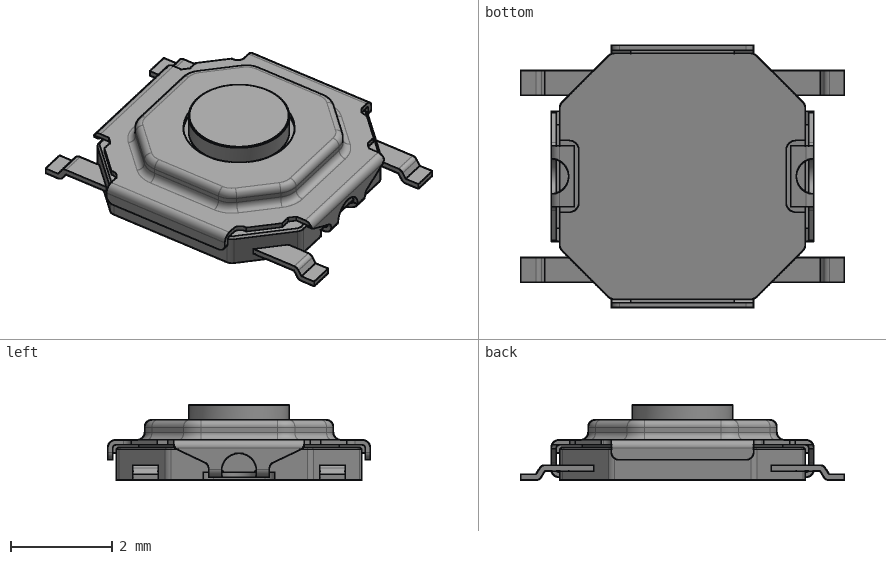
import cadquery as cq
import math

pick_margin = 0.005

lead_span = 6.4
height = 1.5

base_half = 2.43
base_corner_sum = 3.85
base_corner_radius = 0.18
base_top = 0.65
base_bevel = 0.045

cover_half = 2.6
cover_corner_sum = 3.74
cover_top = 0.8
sheet = 0.1
cover_bottom = cover_top - sheet
bend_radius = 0.16
inner_bend_radius = bend_radius - sheet
bend_start = cover_half - bend_radius
cover_inner = cover_half - sheet

dome_half = 1.87
dome_corner_sum = 2.83
dome_corner_radius = 0.48
dome_top = 1.2
dome_edge_radius = 0.15

button_radius = 1.0
button_bevel = 0.02
button_hole_radius = 1.1

short_tab_half = 1.41
short_tab_bottom = 0.4
short_tab_corner = 0.155
short_tab_relief_y = 2.13
short_tab_relief_radius = 0.16

hook_tab_half = 1.29
hook_relief_x = 2.12
hook_relief_chamfer = 0.115
hook_taper_half = 1.26
hook_taper_top = 0.63
hook_leg_half = 0.6
hook_shoulder_z = 0.315
hook_shoulder_radius = 0.13
hook_bottom = 0.06
hook_foot_end = 2.145
hook_window_radius = 0.345
hook_window_z = 0.185

pocket_half = 0.71
pocket_height = hook_bottom + sheet
pocket_back = 2.05
pocket_corner_radius = 0.2

core_half = 1.985
core_corner_sum = 3.2

rib_half_length = 1.025
rib_bottom = 0.54

lead_thickness = 0.12
lead_width = 0.5
lead_center_y = 1.85
lead_bottom = 0.18
lead_inner_end = 1.28
lead_foot_bend_x = 2.9
lead_upper_bend_x = 2.72


def octagon(half, corner_sum, bottom, top):
    """Prism on a square of the given half width, its corners cut at |x| + |y| = corner_sum."""
    cut = corner_sum - half
    points = [
        (half, -cut), (half, cut), (cut, half), (-cut, half),
        (-half, cut), (-half, -cut), (-cut, -half), (cut, -half),
    ]
    return cq.Workplane("XY").workplane(offset=bottom).polyline(points).close().extrude(top - bottom)


def with_opposite(solid):
    """Solid together with its copy turned half a turn about Z."""
    return solid.union(solid.rotate((0, 0, 0), (0, 0, 1), 180))


def make_base():
    base = octagon(base_half, base_corner_sum, 0, base_top)
    base = base.edges("|Z").fillet(base_corner_radius)
    base = base.faces(">Z").edges().chamfer(base_bevel)
    depth = base_half - pocket_back
    pocket = (
        cq.Workplane("XY")
        .box(2 * depth, 2 * pocket_half, pocket_height, centered=(True, True, False))
        .translate((-base_half, 0, 0))
        .edges("|Z and >X").fillet(pocket_corner_radius)
    )
    return base.cut(with_opposite(pocket))


def corner_relief():
    """Cutout in the plate, at the +X +Y corner, between the ends of two neighbouring tabs."""
    block = (
        cq.Workplane("XY").workplane(offset=cover_bottom)
        .box(cover_half, cover_half, sheet, centered=False)
        .edges("|Z and <X and <Y")
    )
    beside_short_tab = block.fillet(short_tab_relief_radius)
    beside_short_tab = beside_short_tab.translate((short_tab_half, short_tab_relief_y, 0))
    beside_hook = block.chamfer(hook_relief_chamfer)
    beside_hook = beside_hook.translate((hook_relief_x, hook_tab_half, 0))
    return beside_short_tab.union(beside_hook)


def make_domed_plate():
    dome = octagon(dome_half, dome_corner_sum, cover_bottom, dome_top)
    dome = dome.edges("|Z").fillet(dome_corner_radius)
    dome = dome.faces(">Z").edges().fillet(dome_edge_radius)
    slab = (
        cq.Workplane("XY").workplane(offset=cover_bottom)
        .box(2 * bend_start, 2 * bend_start, sheet, centered=(True, True, False))
    )
    dome_reach = dome_half + pick_margin
    dome_foot = cq.selectors.BoxSelector(
        (-dome_reach, -dome_reach, cover_top - pick_margin),
        (dome_reach, dome_reach, cover_top + pick_margin),
    )
    plate = slab.union(dome).edges(dome_foot).fillet(dome_edge_radius)
    plate = plate.intersect(octagon(bend_start, cover_corner_sum, cover_bottom, dome_top))
    relief = corner_relief()
    for mirror_plane in ("YZ", "XZ"):
        relief = relief.union(relief.mirror(mirror_plane))
    return plate.cut(relief)


def bend_middle(radius, center_z, vertical):
    """Middle of a quarter bend on the outward side; vertical is 1 for upward and -1 for downward."""
    offset = radius * math.sqrt(0.5)
    return (-bend_start - offset, center_z + vertical * offset)


def make_short_tab():
    """Tab on the -Y side, bent down over the base."""
    center_z = cover_top - bend_radius
    strip = (
        cq.Workplane("YZ")
        .moveTo(-short_tab_relief_y, cover_top)
        .lineTo(-bend_start, cover_top)
        .threePointArc(bend_middle(bend_radius, center_z, 1), (-cover_half, center_z))
        .lineTo(-cover_half, short_tab_bottom)
        .lineTo(-cover_inner, short_tab_bottom)
        .lineTo(-cover_inner, center_z)
        .threePointArc(bend_middle(inner_bend_radius, center_z, 1), (-bend_start, cover_bottom))
        .lineTo(-short_tab_relief_y, cover_bottom)
        .close()
        .extrude(short_tab_half, both=True)
    )
    return strip.edges("|Y and <Z").fillet(short_tab_corner)


def make_hook_tab():
    """Tab on the -X side, tapering to a slotted hook that turns under the base."""
    center_top = cover_top - bend_radius
    center_low = hook_bottom + bend_radius
    strip = (
        cq.Workplane("XZ")
        .moveTo(-hook_relief_x, cover_top)
        .lineTo(-bend_start, cover_top)
        .threePointArc(bend_middle(bend_radius, center_top, 1), (-cover_half, center_top))
        .lineTo(-cover_half, center_low)
        .threePointArc(bend_middle(bend_radius, center_low, -1), (-bend_start, hook_bottom))
        .lineTo(-hook_foot_end, hook_bottom)
        .lineTo(-hook_foot_end, pocket_height)
        .lineTo(-bend_start, pocket_height)
        .threePointArc(bend_middle(inner_bend_radius, center_low, -1), (-cover_inner, center_low))
        .lineTo(-cover_inner, center_top)
        .threePointArc(bend_middle(inner_bend_radius, center_top, 1), (-bend_start, cover_bottom))
        .lineTo(-hook_relief_x, cover_bottom)
        .close()
        .extrude(hook_tab_half, both=True)
    )
    outline = (
        cq.Workplane("YZ")
        .polyline([
            (-hook_tab_half, cover_top), (-hook_tab_half, cover_bottom),
            (-hook_taper_half, hook_taper_top), (-hook_leg_half, hook_shoulder_z),
            (-hook_leg_half, 0), (hook_leg_half, 0),
            (hook_leg_half, hook_shoulder_z), (hook_taper_half, hook_taper_top),
            (hook_tab_half, cover_bottom), (hook_tab_half, cover_top),
        ])
        .close()
        .extrude(-lead_span / 2)
    )
    shoulders = cq.selectors.BoxSelector(
        (-lead_span, -hook_leg_half - pick_margin, hook_shoulder_z - pick_margin),
        (lead_span, hook_leg_half + pick_margin, hook_shoulder_z + pick_margin),
    )
    outline = outline.edges(shoulders).fillet(hook_shoulder_radius)
    wall_window = (
        cq.Workplane("YZ")
        .moveTo(-hook_window_radius, hook_window_z)
        .threePointArc((0, hook_window_z + hook_window_radius), (hook_window_radius, hook_window_z))
        .close()
        .extrude(-lead_span / 2)
    )
    foot_window = (
        cq.Workplane("XY").center(-cover_half, 0).circle(hook_window_radius).extrude(hook_window_z)
    )
    return strip.intersect(outline).cut(wall_window).cut(foot_window)


def make_cover():
    cover = make_domed_plate()
    cover = cover.union(with_opposite(make_short_tab()))
    cover = cover.union(with_opposite(make_hook_tab()))
    hole = cq.Workplane("XY").workplane(offset=dome_top - sheet).circle(button_hole_radius).extrude(sheet)
    return cover.cut(hole)


def make_button():
    button = cq.Workplane("XY").workplane(offset=cover_bottom).circle(button_radius)
    button = button.extrude(height - cover_bottom)
    return button.faces(">Z").edges().chamfer(button_bevel)


def make_lead():
    """Gull-wing lead on the -X side; both bends turn about sharp inner corners."""
    run = lead_foot_bend_x - lead_upper_bend_x
    rise = lead_bottom - lead_thickness
    slope = math.atan2(rise, run) + math.asin(lead_thickness / math.hypot(run, rise))

    def around_foot_bend(angle):
        return (-lead_foot_bend_x + lead_thickness * math.sin(angle),
                lead_thickness - lead_thickness * math.cos(angle))

    def around_upper_bend(angle):
        return (-lead_upper_bend_x - lead_thickness * math.sin(angle),
                lead_bottom + lead_thickness * math.cos(angle))

    return (
        cq.Workplane("XZ", origin=(0, lead_width / 2, 0))
        .moveTo(-lead_span / 2, 0)
        .lineTo(-lead_foot_bend_x, 0)
        .threePointArc(around_foot_bend(slope / 2), around_foot_bend(slope))
        .lineTo(-lead_upper_bend_x, lead_bottom)
        .lineTo(-lead_inner_end, lead_bottom)
        .lineTo(-lead_inner_end, lead_bottom + lead_thickness)
        .lineTo(-lead_upper_bend_x, lead_bottom + lead_thickness)
        .threePointArc(around_upper_bend(slope / 2), around_upper_bend(slope))
        .lineTo(-lead_foot_bend_x, lead_thickness)
        .lineTo(-lead_span / 2, lead_thickness)
        .close()
        .extrude(lead_width)
    )


def make_ribs():
    """Ribs that fill the gaps between the base and the four tabs, just under the plate."""
    length = 2 * cover_inner
    width = 2 * rib_half_length
    rib_height = cover_bottom - rib_bottom
    bar = cq.Workplane("XY").workplane(offset=rib_bottom)
    along_x = bar.box(length, width, rib_height, centered=(True, True, False))
    along_y = bar.box(width, length, rib_height, centered=(True, True, False))
    return along_x.union(along_y)


core = octagon(core_half, core_corner_sum, base_top, cover_bottom)
result = make_base().union(core).union(make_ribs()).union(make_cover()).union(make_button())
for lead_y in (-lead_center_y, lead_center_y):
    result = result.union(with_opposite(make_lead().translate((0, lead_y, 0))))